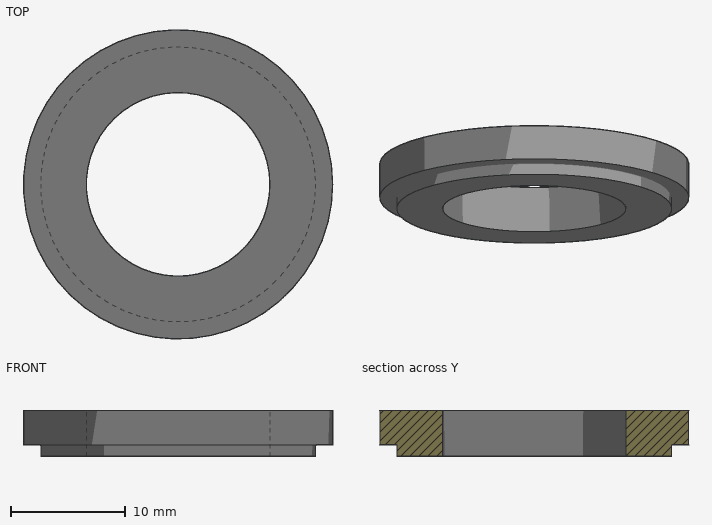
import cadquery as cq

flange_diameter = 27.0
flange_thickness = 3.0
spigot_diameter = 24.0
spigot_height = 1.0
bore_diameter = 16.0
corner_fillet_radius = 0.1

total_height = flange_thickness + spigot_height


def disc(diameter, height, base_z):
    """Solid disc centred on the Z axis, rising from base_z."""
    return cq.Workplane("XY", origin=(0, 0, base_z)).circle(diameter / 2).extrude(height)


def fillet_inner_corner(body):
    """Round the concave corner where the spigot meets the underside of the flange."""
    at_step = cq.selectors.BoxSelector(
        (-flange_diameter, -flange_diameter, spigot_height - corner_fillet_radius),
        (flange_diameter, flange_diameter, spigot_height + corner_fillet_radius),
    )
    smallest_circle = cq.selectors.RadiusNthSelector(0)
    return body.edges(at_step).edges("%CIRCLE").edges(smallest_circle).fillet(corner_fillet_radius)


spigot = disc(spigot_diameter, spigot_height, 0)
flange = disc(flange_diameter, flange_thickness, spigot_height)
stepped_body = fillet_inner_corner(spigot.union(flange))

bore = disc(bore_diameter, total_height, 0)

result = stepped_body.cut(bore)